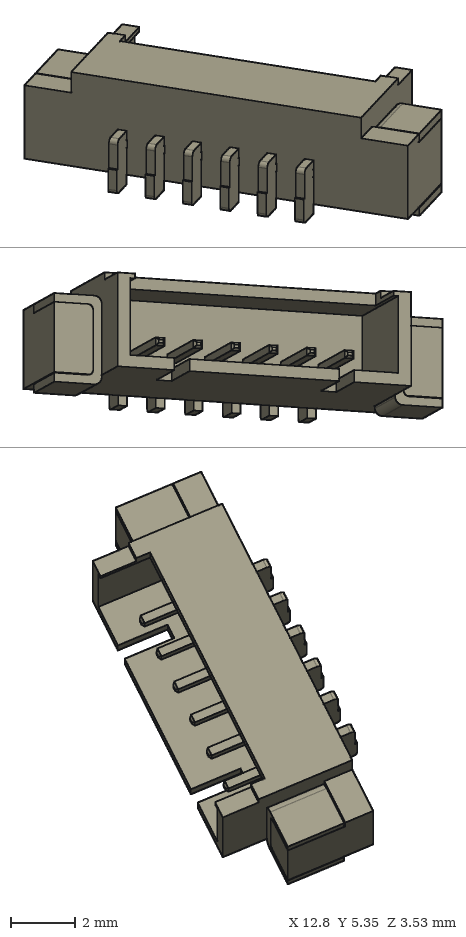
import cadquery as cq


total_length = 12.83
body_length = 9.7
body_depth = 4.45
total_height = 3.53
standoff = 0.31
ear_depth = 2.94
ear_top = 2.82
rear_wall = 1.03

roof_depth = 2.75
cheek_step_y = 3.22
cheek_step_z = 3.3
cheek_thickness = 0.58
lip_overhang = 0.15
lip_height = 0.15
slot_width = 0.5
slot_offset = 2.72

pin_count = 6
pin_row_length = 6.25
pin_width = 0.3
stem_bottom = 1.25
stem_height = 0.26
stem_reach = 3.6
tip_chamfer = 0.08
leg_gap = 0.04
leg_reach = 0.82
leg_height = 1.83
foot_reach = 0.9
foot_height = 0.85
leg_round = 0.15

tab_start_y = 1.0
tab_thickness = 0.28
tab_outer_bend = 0.25
tab_inner_bend = 0.18
tab_slot_clearance = 0.04

body_end = body_length / 2
total_end = total_length / 2
cavity_top = cheek_step_z - lip_height
roof_thickness = total_height - cavity_top
cavity_bottom = standoff + roof_thickness
cavity_length = body_length - 2 * (cheek_thickness - lip_overhang)
opening_length = body_length - 2 * cheek_thickness
pin_pitch = pin_row_length / (pin_count - 1)


def block(length, y_range, z_range, x_center=0):
    """Box centred on x_center, between the given Y and Z limits."""
    y_min, y_max = y_range
    z_min, z_max = z_range
    return (
        cq.Workplane("XY")
        .box(length, y_max - y_min, z_max - z_min, centered=(True, False, False))
        .translate((x_center, y_min, z_min))
    )


def make_tab_envelope(y_start):
    """Right-hand C section with sharp outer bends, open towards +X."""
    outer = block(
        total_end - body_end, (y_start, ear_depth), (0, ear_top), (total_end + body_end) / 2
    )
    web_inner = body_end + tab_thickness
    inner = (
        block(
            total_end - web_inner,
            (y_start, ear_depth),
            (tab_thickness, ear_top - tab_thickness),
            (total_end + web_inner) / 2,
        )
        .edges("|Y and <X")
        .fillet(tab_inner_bend)
    )
    return outer.cut(inner)


def make_right_tab():
    """Solder tab whose web stands against the body and whose plates point outwards."""
    return make_tab_envelope(tab_start_y).edges("|Y and <X").fillet(tab_outer_bend)


def make_shell():
    """Body with its two ears, tab slots and mating opening."""
    shell = block(body_length, (0, body_depth), (standoff, total_height))
    shell = shell.union(block(total_length, (0, ear_depth), (standoff, ear_top)))

    shell = shell.cut(block(body_length, (cheek_step_y, body_depth), (cheek_step_z, total_height)))

    shell = shell.cut(block(cavity_length, (rear_wall, body_depth), (cavity_bottom, cavity_top)))
    shell = shell.cut(block(opening_length, (roof_depth, body_depth), (cavity_bottom, total_height)))

    for side in (-1, 1):
        slot = block(slot_width, (roof_depth, body_depth), (standoff, cavity_bottom), side * slot_offset)
        shell = shell.cut(slot)

    right_slot = make_tab_envelope(tab_start_y - tab_slot_clearance)
    return shell.cut(right_slot).cut(right_slot.mirror("YZ"))


def make_pin(x_center):
    """Straight contact stem through the rear wall with an upright solder leg behind it."""
    stem = (
        block(pin_width, (-leg_reach, stem_reach), (stem_bottom, stem_bottom + stem_height), x_center)
        .faces(">Y")
        .chamfer(tip_chamfer)
    )
    upper_leg = (
        block(pin_width, (-leg_reach, -leg_gap), (foot_height, leg_height), x_center)
        .edges("|X and <Y and >Z")
        .fillet(leg_round)
    )
    foot = (
        block(pin_width, (-foot_reach, -leg_gap), (0, foot_height), x_center)
        .edges("|X and <Y and <Z")
        .fillet(leg_round)
    )
    return stem.union(upper_leg).union(foot)


def make_housing():
    """Shell and its moulded-in pin row as one solid."""
    housing = make_shell()
    for index in range(pin_count):
        housing = housing.union(make_pin(index * pin_pitch - pin_row_length / 2))
    return housing


housing = make_housing()
right_tab = make_right_tab()
tabs = [right_tab, right_tab.mirror("YZ")]

result = cq.Compound.makeCompound([housing.val(), *[tab.val() for tab in tabs]])